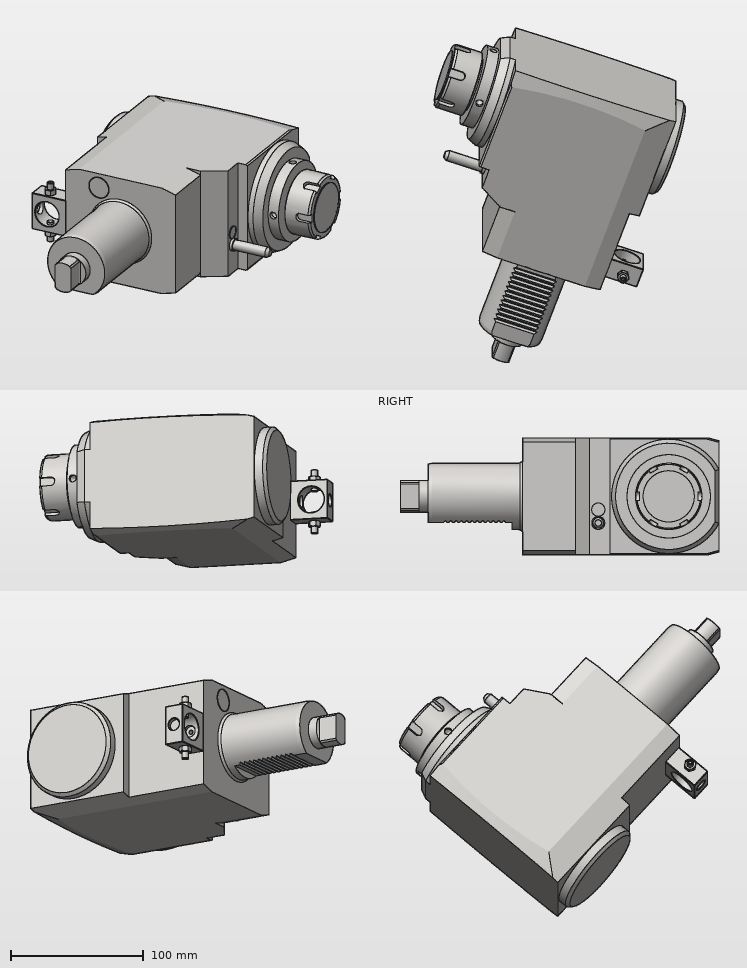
import cadquery as cq
import math


HALF_HEIGHT = 44.0
HALF_BASE_WIDTH = 47.0
BACK_Y = 148.0
HEAD_LEFT_X = -55.0
HEAD_RIGHT_X = 73.0
HEAD_FRONT_Y = 66.0
SHOULDER_X = 65.0
BASE_RIGHT_TOP_Y = 40.0
SHOULDER_ANGLE = 30.0
SHOULDER_Y = BASE_RIGHT_TOP_Y + (SHOULDER_X - HALF_BASE_WIDTH) * math.tan(math.radians(SHOULDER_ANGLE))

BEVEL_START_X = 35.0
BEVEL_SLOPE = math.tan(math.radians(15.0))
HEAD_EDGE_LENGTH = 1.4
HEAD_EDGE_DROP = 0.8
CROWN_CENTRE_X = 18.3
CROWN_TOP_Y = 140.0
CROWN_RADIUS = 318.0
CROWN_SLOPE = BEVEL_SLOPE
CROWN_OVERRUN = 40.0

PLUG_X = -18.5
PLUG_Z = 32.3
PLUG_RADIUS = 8.6
PLUG_GROOVE_WIDTH = 0.3
PLUG_GROOVE_DEPTH = 0.3

SPINDLE_Y = 110.0
REAR_COVER_RADIUS = 36.8
REAR_COVER_CHAMFER = 2.5
REAR_COVER_X = -64.0
FRONT_COVER_RADIUS = 43.0
FRONT_COVER_STRAIGHT = 4.3
FRONT_COVER_X = 84.0
FRONT_COVER_INSET = 3.0

RING_RADIUS = 31.4
RING_END_X = 92.8
RING_HOLE_RADIUS = 2.7
RING_HOLE_X = 88.3
RING_HOLE_DEPTH = 3.0
RING_HOLE_COUNT = 4
NECK_RADIUS = 20.5
NUT_START_X = 94.5
NUT_RADIUS = 25.0
NUT_EDGE = 0.5
NUT_TAPER_X = 114.4
NUT_FACE_X = 116.2
NUT_FACE_RADIUS = 24.0
NUT_LIP_X = 117.1
NUT_LIP_RADIUS = 19.3
SLOT_COUNT = 6
SLOT_WIDTH = 6.5
SLOT_START_X = 104.2
SLOT_FLOOR_RADIUS = 22.0

FLANGE_RADIUS = 26.6
FLANGE_END_Y = -2.0
FLANGE_END_RADIUS = 25.3
SHANK_START_Y = -3.3
SHANK_RADIUS = 25.0
SHANK_END_Y = -71.0
SHANK_CHAMFER_LENGTH = 3.0
SHANK_END_RADIUS = 24.4
SHANK_FLAT_Z = -19.75
SHANK_FLAT_START_Y = -8.0
TOOTH_COUNT = 12
TOOTH_PITCH = 4.0
TOOTH_FIRST_Y = -14.0
TOOTH_GAP = 3.0
TOOTH_DEPTH = 1.5

TANG_RADIUS = 12.0
TANG_HALF_WIDTH = 6.7
TANG_START_Y = -78.0
TANG_END_Y = -92.0
TANG_CORNER_WIDTH = 1.0
TANG_FLAT_HALF_HEIGHT = 9.1
TANG_CORNER_HEIGHT = 1.4
TANG_ROOT_RADIUS = 0.7

BRACKET_LEFT_X = -76.0
BRACKET_FRONT_Y = 0.6
BRACKET_BACK_Y = 16.1
BRACKET_HALF_HEIGHT = 15.0
BRACKET_CHAMFER = 0.5
BORE_X = -63.1
BORE_RADIUS = 10.1
CROSS_HOLE_RADIUS = 4.7
CROSS_HOLE_Y = 8.5
CROSS_HOLE_END_X = -51.3
FEED_HOLE_RADIUS = 1.6
HOLE_CHAMFER = 0.4

SCREW_Y = 6.3
SCREW_RADIUS = 2.5
SCREW_TIP_Z = 8.0
SCREW_TOP_Z = 24.3
SCREW_CHAMFER = 0.3
SOCKET_CORNER_DIAMETER = 2.9
SOCKET_DEPTH = 2.5
LOCKNUT_TOP_Z = 19.2
LOCKNUT_FLATS = 8.0
LOCKNUT_EDGE = 0.6

PIN_Y = 57.0
PIN_Z = -20.0
PIN_RADIUS = 4.0
PIN_END_X = 97.4
PIN_TIP_LENGTH = 2.6
PIN_TIP_RADIUS = 2.4
PIN_COLLAR_X = 67.3
PIN_COLLAR_RADIUS = 4.9
SHOULDER_PLUG_Z = -10.0
SHOULDER_PLUG_RADIUS = 5.0
SHOULDER_PLUG_HEIGHT = 0.7

OVERLAP = 2.0


def box_between(x0, x1, y0, y1, z0, z1):
    return cq.Workplane("XY").box(x1 - x0, y1 - y0, z1 - z0, centered=False).translate((x0, y0, z0))


def turned_x(profile, y, z):
    """Solid of revolution about an X-parallel axis from (x, radius) points."""
    return cq.Workplane("XY").polyline(profile).close().revolve(360, (0, 0), (1, 0)).translate((0, y, z))


def turned_y(profile):
    """Solid of revolution about the Y axis from (radius, y) points."""
    return cq.Workplane("XY").polyline(profile).close().revolve(360, (0, 0), (0, 1))


def cylinder_x(radius, x0, x1, y, z):
    return turned_x([(x0, 0), (x0, radius), (x1, radius), (x1, 0)], y, z)


def mirrored_z(solid):
    return solid.union(solid.mirror("XY"))


def side_bevel(x_edge, x_side, drop, y0, y1):
    """Cutter for matching top and bottom bevels falling by drop from x_edge to x_side."""
    slope = drop / (x_side - x_edge)
    x_out = x_side + math.copysign(OVERLAP, x_side - x_edge)
    top = HALF_HEIGHT + OVERLAP
    wedge = (
        cq.Workplane("XZ", origin=(0, y1, 0))
        .moveTo(x_edge, HALF_HEIGHT)
        .lineTo(x_out, HALF_HEIGHT - slope * (x_out - x_edge))
        .lineTo(x_out, top)
        .lineTo(x_edge, top)
        .close()
        .extrude(y1 - y0)
    )
    return mirrored_z(wedge)


def crown_bevel():
    """Cutter for the conical bevels that leave a curved edge near the back face."""
    outer = CROWN_RADIUS + CROWN_OVERRUN
    top = HALF_HEIGHT + OVERLAP
    cone = (
        cq.Workplane("XZ")
        .moveTo(CROWN_RADIUS, HALF_HEIGHT)
        .lineTo(outer, HALF_HEIGHT - CROWN_SLOPE * CROWN_OVERRUN)
        .lineTo(outer, top)
        .lineTo(CROWN_RADIUS, top)
        .close()
        .revolve(360, (0, 0), (0, 1))
        .translate((CROWN_CENTRE_X, CROWN_TOP_Y - CROWN_RADIUS, 0))
    )
    head = box_between(
        HEAD_LEFT_X - OVERLAP, HEAD_RIGHT_X + OVERLAP, SPINDLE_Y, BACK_Y + OVERLAP, 0, top
    )
    return mirrored_z(cone.intersect(head))


def make_housing():
    outline = [
        (-HALF_BASE_WIDTH, 0),
        (HALF_BASE_WIDTH, 0),
        (HALF_BASE_WIDTH, BASE_RIGHT_TOP_Y),
        (SHOULDER_X, SHOULDER_Y),
        (SHOULDER_X, HEAD_FRONT_Y),
        (HEAD_RIGHT_X, HEAD_FRONT_Y),
        (HEAD_RIGHT_X, BACK_Y),
        (HEAD_LEFT_X, BACK_Y),
        (HEAD_LEFT_X, HEAD_FRONT_Y),
        (-HALF_BASE_WIDTH, HEAD_FRONT_Y),
    ]
    housing = cq.Workplane("XY").polyline(outline).close().extrude(HALF_HEIGHT, both=True)
    left_drop = BEVEL_SLOPE * (-BEVEL_START_X - HEAD_LEFT_X)
    right_drop = BEVEL_SLOPE * (HALF_BASE_WIDTH - BEVEL_START_X)
    back = BACK_Y + OVERLAP
    housing = housing.cut(side_bevel(-BEVEL_START_X, HEAD_LEFT_X, left_drop, -OVERLAP, back))
    housing = housing.cut(
        side_bevel(BEVEL_START_X, HALF_BASE_WIDTH, right_drop, -OVERLAP, BASE_RIGHT_TOP_Y)
    )
    housing = housing.cut(
        side_bevel(HEAD_RIGHT_X - HEAD_EDGE_LENGTH, HEAD_RIGHT_X, HEAD_EDGE_DROP, HEAD_FRONT_Y, back)
    )
    housing = housing.cut(crown_bevel())
    plug_groove = (
        cq.Workplane("XZ")
        .center(PLUG_X, PLUG_Z)
        .circle(PLUG_RADIUS)
        .circle(PLUG_RADIUS - PLUG_GROOVE_WIDTH)
        .extrude(-PLUG_GROOVE_DEPTH)
    )
    return housing.cut(plug_groove)


def make_rear_cover():
    return turned_x(
        [
            (HEAD_LEFT_X + OVERLAP, 0),
            (HEAD_LEFT_X + OVERLAP, REAR_COVER_RADIUS),
            (REAR_COVER_X + REAR_COVER_CHAMFER, REAR_COVER_RADIUS),
            (REAR_COVER_X, REAR_COVER_RADIUS - REAR_COVER_CHAMFER),
            (REAR_COVER_X, 0),
        ],
        SPINDLE_Y,
        0,
    )


def cover_outline(x):
    """Round cover outline cut straight along the back face of the housing."""
    flat_y = BACK_Y - SPINDLE_Y
    flat_z = math.sqrt(FRONT_COVER_RADIUS**2 - flat_y**2)
    return (
        cq.Workplane("YZ", origin=(x, SPINDLE_Y, 0))
        .moveTo(flat_y, -flat_z)
        .lineTo(flat_y, flat_z)
        .threePointArc((-FRONT_COVER_RADIUS, 0), (flat_y, -flat_z))
        .close()
    )


def make_front_cover():
    taper_start_x = HEAD_RIGHT_X + FRONT_COVER_STRAIGHT
    taper_length = FRONT_COVER_X - taper_start_x
    taper = math.degrees(math.atan(FRONT_COVER_INSET / taper_length))
    straight = cover_outline(HEAD_RIGHT_X).extrude(FRONT_COVER_STRAIGHT)
    return straight.union(cover_outline(taper_start_x).extrude(taper_length, taper=taper))


def ring_hole(angle):
    """Radial hole with a pointed end, turned about the spindle axis."""
    depth_radius = RING_RADIUS - RING_HOLE_DEPTH
    return (
        cq.Workplane("XZ")
        .moveTo(0, depth_radius - RING_HOLE_RADIUS)
        .lineTo(RING_HOLE_RADIUS, depth_radius)
        .lineTo(RING_HOLE_RADIUS, RING_RADIUS + OVERLAP)
        .lineTo(0, RING_RADIUS + OVERLAP)
        .close()
        .revolve(360, (0, 0), (0, 1))
        .translate((RING_HOLE_X, 0, 0))
        .rotate((0, 0, 0), (1, 0, 0), angle)
        .translate((0, SPINDLE_Y, 0))
    )


def nut_slot(angle):
    """Round-ended spanner slot, open at the front of the nut."""
    half_width = SLOT_WIDTH / 2
    open_x = NUT_LIP_X + OVERLAP
    return (
        cq.Workplane("XY", origin=(0, 0, SLOT_FLOOR_RADIUS))
        .moveTo(open_x, -half_width)
        .lineTo(SLOT_START_X + half_width, -half_width)
        .threePointArc((SLOT_START_X, 0), (SLOT_START_X + half_width, half_width))
        .lineTo(open_x, half_width)
        .close()
        .extrude(NUT_RADIUS - SLOT_FLOOR_RADIUS + OVERLAP)
        .rotate((0, 0, 0), (1, 0, 0), angle)
        .translate((0, SPINDLE_Y, 0))
    )


def make_spindle_nose():
    nose = turned_x(
        [
            (FRONT_COVER_X - OVERLAP, 0),
            (FRONT_COVER_X - OVERLAP, RING_RADIUS),
            (RING_END_X, RING_RADIUS),
            (RING_END_X, NECK_RADIUS),
            (NUT_START_X, NECK_RADIUS),
            (NUT_START_X, NUT_RADIUS - NUT_EDGE),
            (NUT_START_X + NUT_EDGE, NUT_RADIUS),
            (NUT_TAPER_X, NUT_RADIUS),
            (NUT_FACE_X, NUT_FACE_RADIUS),
            (NUT_FACE_X, NUT_LIP_RADIUS),
            (NUT_LIP_X, NUT_LIP_RADIUS),
            (NUT_LIP_X, 0),
        ],
        SPINDLE_Y,
        0,
    )
    for i in range(RING_HOLE_COUNT):
        nose = nose.cut(ring_hole(i * 360 / RING_HOLE_COUNT))
    for i in range(SLOT_COUNT):
        nose = nose.cut(nut_slot((i + 0.5) * 360 / SLOT_COUNT))
    return nose


def tooth_gap(y):
    half_gap = TOOTH_GAP / 2
    return (
        cq.Workplane("YZ")
        .moveTo(y - half_gap, SHANK_FLAT_Z)
        .lineTo(y, SHANK_FLAT_Z + TOOTH_DEPTH)
        .lineTo(y + half_gap, SHANK_FLAT_Z)
        .close()
        .extrude(SHANK_RADIUS, both=True)
    )


def make_shank():
    shank = turned_y(
        [
            (0, OVERLAP),
            (FLANGE_RADIUS, OVERLAP),
            (FLANGE_RADIUS, 0),
            (FLANGE_END_RADIUS, FLANGE_END_Y),
            (SHANK_RADIUS, SHANK_START_Y),
            (SHANK_RADIUS, SHANK_END_Y + SHANK_CHAMFER_LENGTH),
            (SHANK_END_RADIUS, SHANK_END_Y),
            (0, SHANK_END_Y),
        ]
    )
    shank = shank.cut(
        box_between(
            -SHANK_RADIUS, SHANK_RADIUS, SHANK_END_Y, SHANK_FLAT_START_Y, -SHANK_RADIUS, SHANK_FLAT_Z
        )
    )
    for i in range(TOOTH_COUNT):
        shank = shank.cut(tooth_gap(TOOTH_FIRST_Y - i * TOOTH_PITCH))
    return shank


def make_tang():
    collar = turned_y(
        [
            (0, SHANK_END_Y + OVERLAP),
            (TANG_RADIUS, SHANK_END_Y + OVERLAP),
            (TANG_RADIUS, TANG_START_Y),
            (0, TANG_START_Y),
        ]
    )
    corner_x = TANG_HALF_WIDTH - TANG_CORNER_WIDTH
    corner_z = TANG_FLAT_HALF_HEIGHT + TANG_CORNER_HEIGHT
    blade = (
        cq.Workplane("XZ", origin=(0, TANG_START_Y, 0))
        .moveTo(TANG_HALF_WIDTH, -TANG_FLAT_HALF_HEIGHT)
        .lineTo(TANG_HALF_WIDTH, TANG_FLAT_HALF_HEIGHT)
        .lineTo(corner_x, corner_z)
        .threePointArc((0, TANG_RADIUS), (-corner_x, corner_z))
        .lineTo(-TANG_HALF_WIDTH, TANG_FLAT_HALF_HEIGHT)
        .lineTo(-TANG_HALF_WIDTH, -TANG_FLAT_HALF_HEIGHT)
        .lineTo(-corner_x, -corner_z)
        .threePointArc((0, -TANG_RADIUS), (corner_x, -corner_z))
        .close()
        .extrude(TANG_START_Y - TANG_END_Y)
    )
    root_x = TANG_HALF_WIDTH + TANG_ROOT_RADIUS
    root_y = TANG_START_Y - TANG_ROOT_RADIUS
    roots = (
        cq.Workplane("XY")
        .moveTo(-root_x, TANG_START_Y)
        .lineTo(root_x, TANG_START_Y)
        .radiusArc((TANG_HALF_WIDTH, root_y), -TANG_ROOT_RADIUS)
        .lineTo(-TANG_HALF_WIDTH, root_y)
        .radiusArc((-root_x, TANG_START_Y), -TANG_ROOT_RADIUS)
        .close()
        .extrude(TANG_FLAT_HALF_HEIGHT, both=True)
    )
    return collar.union(blade).union(roots)


def make_bracket():
    bracket = box_between(
        BRACKET_LEFT_X,
        -HALF_BASE_WIDTH,
        BRACKET_FRONT_Y,
        BRACKET_BACK_Y,
        -BRACKET_HALF_HEIGHT,
        BRACKET_HALF_HEIGHT,
    )
    bracket = bracket.edges("<X or (|X)").chamfer(BRACKET_CHAMFER)
    bore_rim = BORE_RADIUS + HOLE_CHAMFER
    bore = turned_y(
        [
            (0, BRACKET_FRONT_Y),
            (bore_rim, BRACKET_FRONT_Y),
            (BORE_RADIUS, BRACKET_FRONT_Y + HOLE_CHAMFER),
            (BORE_RADIUS, BRACKET_BACK_Y - HOLE_CHAMFER),
            (bore_rim, BRACKET_BACK_Y),
            (0, BRACKET_BACK_Y),
        ]
    ).translate((BORE_X, 0, 0))
    cross_hole = turned_x(
        [
            (BRACKET_LEFT_X, 0),
            (BRACKET_LEFT_X, CROSS_HOLE_RADIUS + HOLE_CHAMFER),
            (BRACKET_LEFT_X + HOLE_CHAMFER, CROSS_HOLE_RADIUS),
            (CROSS_HOLE_END_X, CROSS_HOLE_RADIUS),
            (CROSS_HOLE_END_X, FEED_HOLE_RADIUS),
            (-HALF_BASE_WIDTH, FEED_HOLE_RADIUS),
            (-HALF_BASE_WIDTH, 0),
        ],
        CROSS_HOLE_Y,
        0,
    )
    return bracket.cut(bore).cut(cross_hole)


def make_screws():
    """Socket screws with lock nuts, one above and one below the bracket bore."""
    axis = cq.Workplane("XY").center(BORE_X, SCREW_Y)
    stud = axis.workplane(offset=SCREW_TIP_Z).circle(SCREW_RADIUS).extrude(SCREW_TOP_Z - SCREW_TIP_Z)
    stud = stud.faces("<Z or >Z").edges().chamfer(SCREW_CHAMFER)
    socket = (
        axis.workplane(offset=SCREW_TOP_Z - SOCKET_DEPTH)
        .polygon(6, SOCKET_CORNER_DIAMETER)
        .extrude(SOCKET_DEPTH)
    )
    nut_height = LOCKNUT_TOP_Z - BRACKET_HALF_HEIGHT
    nut_base = axis.workplane(offset=BRACKET_HALF_HEIGHT)
    corner_diameter = LOCKNUT_FLATS / math.cos(math.pi / 6)
    rounding = nut_base.circle(corner_diameter / 2).extrude(nut_height)
    rounding = rounding.faces("<Z or >Z").edges().chamfer(LOCKNUT_EDGE)
    nut = nut_base.polygon(6, corner_diameter).extrude(nut_height).intersect(rounding)
    return mirrored_z(nut.union(stud).cut(socket))


def make_pin():
    return turned_x(
        [
            (SHOULDER_X - OVERLAP, 0),
            (SHOULDER_X - OVERLAP, PIN_COLLAR_RADIUS),
            (PIN_COLLAR_X, PIN_COLLAR_RADIUS),
            (PIN_COLLAR_X, PIN_RADIUS),
            (PIN_END_X - PIN_TIP_LENGTH, PIN_RADIUS),
            (PIN_END_X, PIN_TIP_RADIUS),
            (PIN_END_X, 0),
        ],
        PIN_Y,
        PIN_Z,
    )


def make_shoulder_plug():
    return cylinder_x(
        SHOULDER_PLUG_RADIUS, SHOULDER_X - OVERLAP, SHOULDER_X + SHOULDER_PLUG_HEIGHT, PIN_Y, SHOULDER_PLUG_Z
    )


result = make_housing()
for piece in (
    make_rear_cover(),
    make_front_cover(),
    make_spindle_nose(),
    make_shank(),
    make_tang(),
    make_bracket(),
    make_screws(),
    make_pin(),
    make_shoulder_plug(),
):
    result = result.union(piece)